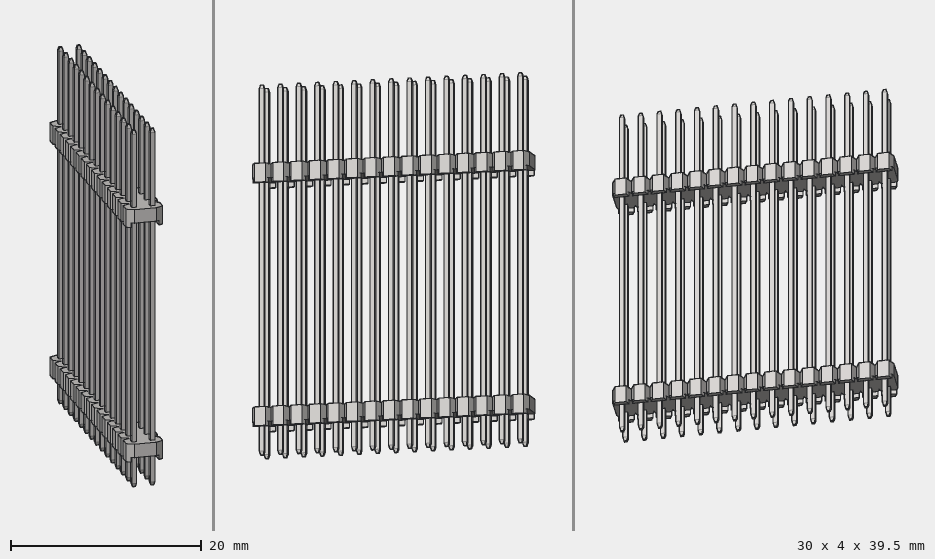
import cadquery as cq


columns = 15
strip_length = 30.0
strip_width = 4.0
pin_length = 39.5

pitch = strip_length / columns
row_pitch = pitch
rows = 2

pin_side = 0.5
tip_side = 0.28
tip_length = 0.4

strip_height = 2.0
cell_flat = 1.2
notch_depth = 0.8
foot_height = 0.5
foot_depth = 0.47

lower_strip_base = 3.0
upper_pin_exposure = 8.5
upper_strip_base = pin_length - upper_pin_exposure - strip_height


def column_x(column):
    return (column - (columns - 1) / 2) * pitch


def row_y(row):
    return (row - (rows - 1) / 2) * row_pitch


def strip_outline():
    """Closed outline: the +Y toothed edge from -X to +X, then the same edge turned half way round."""
    edge_y = strip_width / 2
    notch_y = edge_y - notch_depth
    toothed_edge = [(-strip_length / 2, notch_y)]
    for column in range(columns):
        x = column_x(column)
        toothed_edge += [
            (x - cell_flat / 2, edge_y),
            (x + cell_flat / 2, edge_y),
            (x + pitch / 2, notch_y),
        ]
    return toothed_edge + [(-x, -y) for x, y in toothed_edge]


def make_strip(base_z):
    """Notched strip with a channel under it, which leaves a foot on both sides of every column."""
    body = cq.Workplane("XY").workplane(offset=base_z).polyline(strip_outline()).close().extrude(strip_height)
    channel = (
        cq.Workplane("XY")
        .workplane(offset=base_z)
        .rect(strip_length, strip_width - 2 * foot_depth)
        .extrude(foot_height)
    )
    return body.cut(channel)


def make_tip(shaft_end_z, end_z):
    """Tapered pin end running from the full section to the small flat tip."""
    return (
        cq.Workplane("XY")
        .workplane(offset=shaft_end_z)
        .rect(pin_side, pin_side)
        .workplane(offset=end_z - shaft_end_z)
        .rect(tip_side, tip_side)
        .loft()
    )


def make_pin():
    """Square pin standing on Z = 0, tapered at both ends."""
    shaft = (
        cq.Workplane("XY")
        .workplane(offset=tip_length)
        .rect(pin_side, pin_side)
        .extrude(pin_length - 2 * tip_length)
    )
    lower_tip = make_tip(tip_length, 0)
    upper_tip = make_tip(pin_length - tip_length, pin_length)
    return shaft.union(lower_tip).union(upper_tip)


strips = make_strip(lower_strip_base).add(make_strip(upper_strip_base)).combine()

pin = make_pin().val()
pins = [
    pin.translate(cq.Vector(column_x(column), row_y(row), 0))
    for column in range(columns)
    for row in range(rows)
]

result = strips.union(cq.Workplane("XY").newObject(pins))